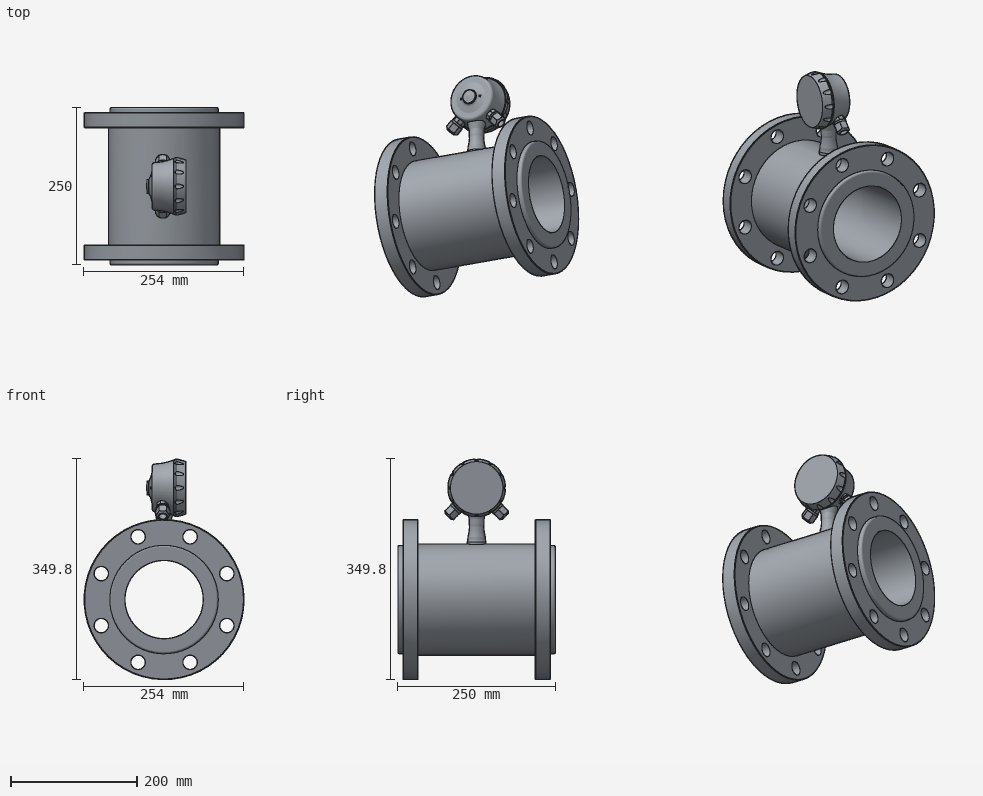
import cadquery as cq
import math

overall_height = 349.8
overall_length = 250.0
bore_diameter = 123.8
tube_diameter = 176.5
flange_diameter = 254.0
flange_thickness = 24.0
flange_chamfer = 1.0
raised_face_diameter = 172.0
raised_face_height = 8.0
raised_face_fillet = 3.0

bolt_count = 8
bolt_hole_diameter = 22.5
bolt_circle_diameter = 215.5

neck_base_radius = 15.0
neck_base_top = 91.5
neck_step_radius = 14.5
neck_step_height = 93.7
neck_shoulder_radius = 14.0
neck_shoulder_height = 99.0
neck_waist_radius = 11.5
neck_waist_bottom = 115.5
neck_flare_offset = 0.7
neck_band_top = 118.5
neck_throat_radius = 12.0
neck_throat_top = 127.3
neck_top_radius = 14.5
neck_top = 138.0

knob_tip_x = -28.0
knob_front_x = -27.0
knob_back_x = -24.5
knob_tip_radius = 9.5
knob_radius = 11.2
knob_neck_radius = 10.5
boss_front_x = -23.8
boss_front_radius = 12.0
boss_back_x = -21.7
boss_back_radius = 15.5
face_x = -19.0
dish_radius = 25.5
rim_radius = 38.0
rim_fillet = 4.5
rim_band_width = 1.0
body_end_x = 14.7
body_end_radius = 44.0
body_middle_x = 2.0
body_middle_radius = 40.2

face_hole_diameter = 3.0
face_hole_offset = 16.8
face_hole_depth = 3.5

cover_start_x = 15.7
cover_start_radius = 44.5
cover_gap_radius = 43.5
cover_crest_start_x = 19.2
cover_crest_end_x = 21.0
cover_crest_radius = 45.8
cover_bevel_x = 32.2
cover_bevel_radius = 42.5
cover_end_x = 34.5
cover_end_radius = 41.5
grip_count = 12
grip_start_x = 17.0
grip_radius = 4.2
grip_floor_radius = 43.0

grip_axis_radius = grip_floor_radius + grip_radius
cover_top = (cover_crest_radius**2 + grip_axis_radius**2 - grip_radius**2) / (2 * grip_axis_radius)
housing_height = overall_height - flange_diameter / 2 - cover_top

gland_x = -2.0
gland_angle = 45
gland_start = 28.0
gland_stem_sides = 8
gland_nut_sides = 6
gland_stem_diameter = 20.3
gland_collar_start = 45.0
gland_collar_diameter = 20.5
gland_nut_start = 48.5
gland_nut_end = 64.0
gland_nut_diameter = 22.5
gland_nut_chamfer_diameter = 14.7
gland_nut_chamfer_length = 3.5
gland_hole_diameter = 12.0


def cylinder_along_y(diameter, length):
    """Cylinder about the Y axis, centred on the origin."""
    return cq.Workplane("XZ").circle(diameter / 2).extrude(length / 2, both=True)


def make_flange():
    """Flange and raised face at the -Y end."""
    back_y = -overall_length / 2 + raised_face_height + flange_thickness
    flange = (
        cq.Workplane("XZ", origin=(0, back_y, 0))
        .circle(flange_diameter / 2)
        .extrude(flange_thickness)
        .edges()
        .chamfer(flange_chamfer)
    )
    raised_face = (
        cq.Workplane("XZ", origin=(0, back_y, 0))
        .circle(raised_face_diameter / 2)
        .extrude(flange_thickness + raised_face_height)
        .faces("<Y")
        .edges()
        .fillet(raised_face_fillet)
    )
    return flange.union(raised_face)


def make_bolt_holes():
    """Cutters for the bolt holes, long enough for both flanges."""
    return (
        cq.Workplane("XZ")
        .polarArray(bolt_circle_diameter / 2, 180 / bolt_count, 360, bolt_count)
        .circle(bolt_hole_diameter / 2)
        .extrude(overall_length, both=True)
    )


def make_neck():
    """Turned neck, running from inside the tube wall up into the housing."""
    flare_height = (neck_shoulder_height + neck_waist_bottom) / 2
    flare_radius = neck_waist_radius + neck_flare_offset
    return (
        cq.Workplane("XZ")
        .lineTo(neck_base_radius, 0)
        .lineTo(neck_base_radius, neck_base_top)
        .lineTo(neck_step_radius, neck_step_height)
        .lineTo(neck_shoulder_radius, neck_shoulder_height)
        .threePointArc((flare_radius, flare_height), (neck_waist_radius, neck_waist_bottom))
        .lineTo(neck_throat_radius, neck_band_top)
        .lineTo(neck_throat_radius, neck_throat_top)
        .lineTo(neck_top_radius, neck_top)
        .lineTo(neck_top_radius, housing_height)
        .lineTo(0, housing_height)
        .close()
        .revolve(360, (0, 0), (0, 1))
    )


def make_grip_groove():
    """Round-ended cutter, parallel to the X axis, for the groove at the top of the cover."""
    centre = (grip_start_x + grip_radius, 0, grip_axis_radius)
    channel = cq.Workplane("YZ", origin=centre).circle(grip_radius).extrude(cover_end_x - grip_start_x)
    rounded_end = cq.Workplane("XY").sphere(grip_radius).translate(centre)
    return channel.union(rounded_end)


def make_housing():
    """Knob, dished front face, flared body and cover as one turned shape about the X axis."""
    fillet_mid = rim_fillet * (1 - math.sqrt(0.5))
    turned = (
        cq.Workplane("XZ")
        .moveTo(knob_tip_x, 0)
        .lineTo(knob_front_x, knob_tip_radius)
        .lineTo(knob_front_x, knob_radius)
        .lineTo(knob_back_x, knob_radius)
        .lineTo(knob_back_x, knob_neck_radius)
        .lineTo(boss_front_x, knob_neck_radius)
        .lineTo(boss_front_x, boss_front_radius)
        .lineTo(boss_back_x, boss_back_radius)
        .lineTo(face_x, dish_radius)
        .lineTo(face_x, rim_radius - rim_fillet)
        .threePointArc(
            (face_x + fillet_mid, rim_radius - fillet_mid),
            (face_x + rim_fillet, rim_radius),
        )
        .lineTo(face_x + rim_fillet + rim_band_width, rim_radius)
        .threePointArc((body_middle_x, body_middle_radius), (body_end_x, body_end_radius))
        .lineTo(body_end_x, cover_gap_radius)
        .lineTo(cover_start_x, cover_gap_radius)
        .lineTo(cover_start_x, cover_start_radius)
        .lineTo(cover_crest_start_x, cover_crest_radius)
        .lineTo(cover_crest_end_x, cover_crest_radius)
        .lineTo(cover_bevel_x, cover_bevel_radius)
        .lineTo(cover_end_x, cover_end_radius)
        .lineTo(cover_end_x, 0)
        .close()
        .revolve(360, (0, 0), (1, 0))
    )
    face_holes = (
        cq.Workplane("YZ", origin=(boss_back_x, 0, 0))
        .pushPoints([(-face_hole_offset, 0), (face_hole_offset, 0)])
        .circle(face_hole_diameter / 2)
        .extrude(face_hole_depth)
    )
    housing = turned.cut(face_holes)
    groove = make_grip_groove()
    for index in range(grip_count):
        housing = housing.cut(groove.rotate((0, 0, 0), (1, 0, 0), index * 360 / grip_count))
    return housing


def make_gland(side):
    """Cable gland along the radial axis, in housing coordinates; side is -1 for -Y, 1 for +Y."""
    slope = math.radians(gland_angle)
    axis = cq.Vector(0, side * math.cos(slope), -math.sin(slope))

    def section(distance):
        return cq.Workplane(cq.Plane((gland_x, *(axis * distance).toTuple()[1:]), (1, 0, 0), axis))

    stem = (
        section(gland_start)
        .transformed(rotate=(0, 0, 180 / gland_stem_sides))
        .polygon(gland_stem_sides, gland_stem_diameter)
        .extrude(gland_nut_start - gland_start)
    )
    collar = (
        section(gland_collar_start)
        .circle(gland_collar_diameter / 2)
        .extrude(gland_nut_start - gland_collar_start)
    )
    nut_length = gland_nut_end - gland_nut_start
    nut = section(gland_nut_start).polygon(gland_nut_sides, gland_nut_diameter).extrude(nut_length)
    rounded_end = (
        section(gland_nut_start)
        .circle(gland_nut_diameter / 2)
        .extrude(nut_length)
        .faces(cq.selectors.DirectionMinMaxSelector(axis))
        .chamfer(gland_nut_chamfer_length, (gland_nut_diameter - gland_nut_chamfer_diameter) / 2)
    )
    hole = section(gland_nut_start).circle(gland_hole_diameter / 2).extrude(nut_length)
    return stem.union(collar).union(nut.intersect(rounded_end)).cut(hole)


def make_transmitter():
    """Housing with both glands, raised to its place above the tube."""
    housing = make_housing()
    for side in (-1, 1):
        housing = housing.union(make_gland(side))
    return housing.translate((0, 0, housing_height))


front_flange = make_flange()
back_flange = front_flange.mirror("XZ")
tube = cylinder_along_y(tube_diameter, overall_length - 2 * raised_face_height - flange_thickness)
bore = cylinder_along_y(bore_diameter, overall_length)

result = (
    tube.union(front_flange)
    .union(back_flange)
    .union(make_neck())
    .cut(bore)
    .cut(make_bolt_holes())
    .union(make_transmitter())
)